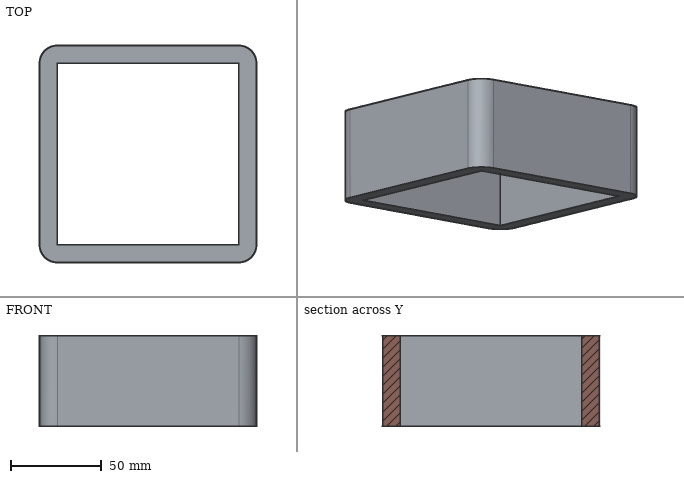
import cadquery as cq

opening_side = 100.0
wall_thickness = 10.0
height = 50.0

outer_side = opening_side + 2 * wall_thickness
corner_radius = wall_thickness


def rounded_block():
    """Square block with rounded vertical edges, standing on Z = 0."""
    block = cq.Workplane("XY").rect(outer_side, outer_side).extrude(height)
    return block.edges("|Z").fillet(corner_radius)


def cut_opening(body):
    """Cut the sharp-cornered square opening through the full height."""
    return body.faces(">Z").workplane().rect(opening_side, opening_side).cutThruAll()


result = cut_opening(rounded_block())